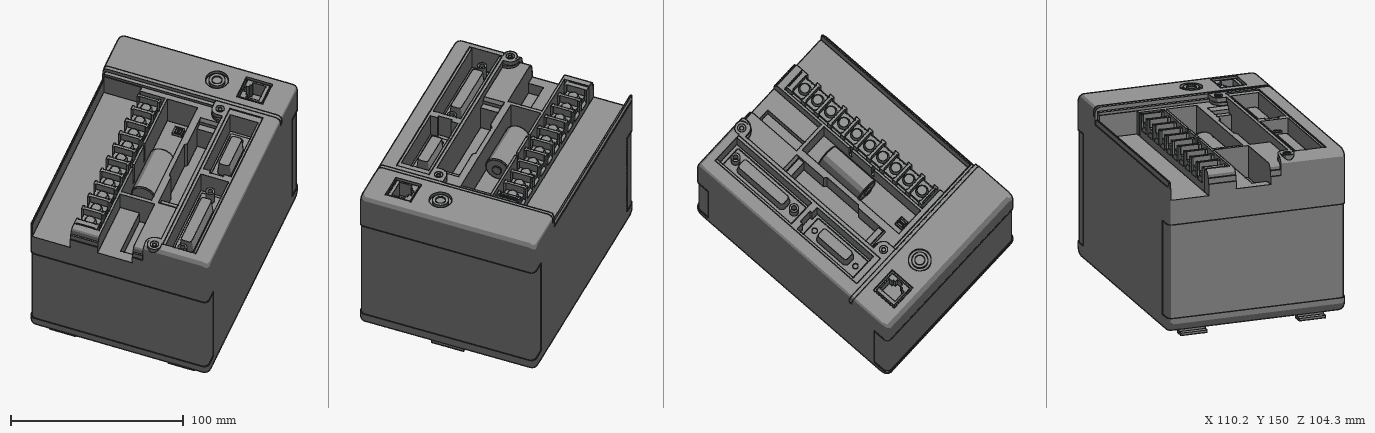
import cadquery as cq


WIDTH = 110.24
DEPTH = 149.99
HEIGHT = 100.0
LONG_EDGE_RADIUS = 6.2
SIDE_EDGE_RADIUS = 3.3
OVERCUT = 1.0

GRIP_INSET = 0.5
GRIP_BOTTOM = 8.9
FRONT_GRIP_TOP = 66.2
FRONT_GRIP_WRAP = 10.0
REAR_GRIP_TOP = 77.4
REAR_GRIP_WRAP = 10.6

SEAT_REAR = 119.7
SEAT_LEDGE = 97.3
SEAT_LEDGE_WIDTH = 2.2
DECK = 95.6
EAR_LEFT = 70.0
SEAT_RIGHT = 77.8
REAR_EAR_FRONT = 109.8
REAR_EAR_RADIUS = 4.6
FRONT_EAR_REAR = 10.0
FRONT_EAR_RADIUS = 5.6
EAR_STEP = 1.2

SEAM_WIDTH = 2.2
SEAM_DEPTH = 0.2
SEAM_BOTTOM = 94.0

NOSE_RADIUS = 2.8
NOSE_FACE = 1.6
LIP_FACE = 0.6
LIP_TOP = 91.8
LIP_BOTTOM = 88.4

LEFT_WALL = 1.8
LEFT_WALL_TOP = 92.2
LEFT_WALL_SHOULDER = 89.4
SHOULDER_WIDTH = 0.5
LEFT_WALL_TOP_START = 0.9

REAR_EAR_HOLE = (74.7, 114.7)
FRONT_EAR_HOLE = (75.5, 4.9)
FRONT_BOSS_RADIUS = 4.1
EAR_BORE_RADIUS = 2.4
EAR_BORE_DEPTH = 0.3
EAR_HOLE_RADIUS = 1.2
EAR_HOLE_DEPTH = 1.0

TROUGH_FLOOR = 81.5
TROUGH_REAR = 117.1
BLOCK_LEFT = 25.2
BLOCK_RIGHT = 39.1
BLOCK_FRONT = 6.8
BLOCK_REAR = 112.5
WELL_RIGHT = 40.7
WELL_REAR = 114.2

TERMINAL_COUNT = 10
TERMINAL_PITCH = 10.15
FIRST_TERMINAL_Y = 14.8
CELL_WIDTH = 8.4
CELL_RIGHT = 37.7
CELL_FLOOR = 90.6
REAR_SILL = 88.0
MOUTH_WIDTH = 7.3
CELL_FACE = 26.4
RAMP_TOP = 88.1
RAMP_BOTTOM = 85.9
TERMINAL_X = 32.0
TERMINAL_RADIUS = 3.65
TERMINAL_TOP_RADIUS = 2.8
TERMINAL_HEIGHT = 2.2
END_GROOVE_WIDTH = 0.8
END_GROOVE_DEPTH = 1.0

BAY_LEFT = 42.2
BAY_RIGHT = 60.9
BAY_FRONT = 39.0
BAY_FLOOR = 76.1
TAB_FRONT = 58.4
TAB_REAR = 78.0
SLIT_WIDTH = 2.1

BATTERY_X = 51.85
BATTERY_RADIUS = 7.55
BATTERY_FRONT = 49.5
BATTERY_REAR = 81.3
BATTERY_EDGE = 0.6
NUB_RADIUS = 2.75
NUB_LENGTH = 1.1

SWITCH_X = 51.5
SWITCH_Y = 107.8
SWITCH_WIDTH = 5.7
SWITCH_LENGTH = 5.2
SWITCH_HEIGHT = 2.0
SWITCH_SLOT_WIDTH = 1.3
SWITCH_SLOT_LENGTH = 3.6
SWITCH_SLOT_PITCH = 2.2

CABLE_RIGHT = 63.6
CABLE_REAR = 36.9
CABLE_FLOOR = 83.7
CABLE_WELL_LEFT = 54.2
CABLE_WELL_FRONT = 6.0

SLOT_LEFT = 65.2
SLOT_FRONT = 38.5
SLOT_REAR = 107.7
SLOT_RAMP = 1.75
SLOT_STEP = 3.8
SLOT_STEP_DROP = 4.0
SLOT_RAMP_DROP = 1.75
BULGE_FRONT = 59.3
BULGE_REAR = 86.6
BULGE = 1.5

FRAME_LEFT = 79.9
FRAME_RIGHT = 100.3
FRAME_FRONT = 6.6
FRAME_REAR = 116.9
FRAME_DEPTH = 0.8
CONNECTOR_LEFT = 81.6
CONNECTOR_RIGHT = 98.8
CONNECTOR_X = 90.1
CONNECTOR_FLOOR = 84.5
REAR_BAY = (69.2, 113.0)
FRONT_BAY = (FRAME_FRONT, 64.8)
BAY_NOTCH_WIDTH = 8.4
BAY_NOTCH_LENGTH = 1.6
FLANGE_WIDTH = 14.0
FLANGE_HEIGHT = 1.5
FLANGE_CORNER = 1.0
SHELL_WIDTH = 8.3
SHELL_TOP_WIDTH = 6.4
SHELL_HEIGHT = 8.6
SHELL_CORNER = 2.6
REAR_FLANGE = (71.4, 110.3)
FRONT_FLANGE = (8.9, 62.1)
REAR_SHELL = (78.7, 103.0)
FRONT_SHELL = (16.8, 53.3)
REAR_FIXINGS = (74.9, 106.7)
FRONT_FIXINGS = (13.0, 58.5)
FLANGE_HOLE_RADIUS = 1.6
STANDOFF_X = 89.8
STANDOFF_RADIUS = 2.6
STANDOFF_HOLE_RADIUS = 1.4
STANDOFF_HEIGHT = 8.2

PLUG_CENTRE = (65.3, 134.5)
PLUG_RECESS_RADIUS = 6.6
PLUG_RADIUS = 4.7
PLUG_HOLE_RADIUS = 2.9
PLUG_RECESS_DEPTH = 2.0
PLUG_HOLE_DEPTH = 0.8

JACK_LEFT = 80.4
JACK_RIGHT = 96.6
JACK_FRONT = 126.6
JACK_REAR = 142.6
JACK_MARGIN = 1.15
JACK_GAP_DEPTH = 2.0
JACK_SET_BACK = 0.8
JACK_HOLE_DEPTH = 11.0
JACK_HOLE_RIGHT = 93.3
JACK_STEPS = ((85.4, 11.6), (84.4, 7.2), (82.6, 4.0))

HOOK_HEIGHT = 4.29
HOOK_WIDTH = 16.2
HOOK_LEFTS = (10.3, 83.5)
HOOK_HEEL = 14.2
HOOK_BACK = 12.0
HOOK_FRONT = 9.0
HOOK_TIP = 6.0
HOOK_TOE_TOP = -2.8
LATCH_FRONT = 143.8
LATCH_REAR = 148.4
LATCH_WIDTH = 20.0
LATCH_TOP = 4.5
PIN_Y = 144.4
PIN_PROFILE = ((1.2, 0.9), (1.7, 1.1), (1.0, 0.7))


def block(x0, x1, y0, y1, z0, z1):
    """Box between two opposite corners."""
    return cq.Workplane("XY").box(x1 - x0, y1 - y0, z1 - z0, centered=False).translate((x0, y0, z0))


def rod(centre, radius, z0, z1):
    """Vertical cylinder."""
    return cq.Workplane("XY", origin=(*centre, z0)).circle(radius).extrude(z1 - z0)


def case_form(inset):
    """Rounded case, shrunk on every face by the inset."""
    core = block(inset, WIDTH - inset, inset, DEPTH - inset, inset, HEIGHT - inset)
    core = core.edges("|X").fillet(LONG_EDGE_RADIUS)
    return core.faces("<X or >X").edges().fillet(SIDE_EDGE_RADIUS)


def skin(inset, y0, y1, z0, z1):
    """Thin outer layer of the case within a range of Y and Z."""
    return block(-OVERCUT, WIDTH + OVERCUT, y0, y1, z0, z1).cut(case_form(inset))


def shell_case():
    case = case_form(0)
    case = case.cut(skin(GRIP_INSET, -OVERCUT, FRONT_GRIP_WRAP, GRIP_BOTTOM, FRONT_GRIP_TOP))
    rear_start = DEPTH - REAR_GRIP_WRAP
    case = case.cut(skin(GRIP_INSET, rear_start, DEPTH + OVERCUT, GRIP_BOTTOM, REAR_GRIP_TOP))
    seam_rear = SEAT_REAR + SEAM_WIDTH
    return case.cut(skin(SEAM_DEPTH, SEAT_REAR, seam_rear, SEAM_BOTTOM, HEIGHT + OVERCUT))


def seat_layer(rear, ear_growth, z0, z1):
    """One level of the cover seat, leaving the two rounded ears standing."""
    layer = block(-OVERCUT, SEAT_RIGHT, -OVERCUT, rear, z0, z1)
    rear_ear = block(EAR_LEFT, WIDTH, REAR_EAR_FRONT - ear_growth, DEPTH, z0, z1)
    rear_ear = rear_ear.edges("|Z and <X and <Y").fillet(REAR_EAR_RADIUS + ear_growth)
    front_ear = block(EAR_LEFT, WIDTH, -DEPTH, FRONT_EAR_REAR + ear_growth, z0, z1)
    front_ear = front_ear.edges("|Z and <X and >Y").fillet(FRONT_EAR_RADIUS + ear_growth)
    return layer.cut(rear_ear).cut(front_ear)


def nose_cutter():
    """Space in front of the rounded deck end and its lip."""
    nose_start = NOSE_FACE + NOSE_RADIUS
    arc_offset = NOSE_RADIUS * (1 - 0.5 ** 0.5)
    return (
        cq.Workplane("YZ", origin=(-OVERCUT, 0, 0))
        .moveTo(-OVERCUT, SEAT_LEDGE)
        .lineTo(-OVERCUT, LIP_BOTTOM)
        .lineTo(LIP_FACE, LIP_BOTTOM)
        .lineTo(LIP_FACE, LIP_TOP)
        .lineTo(NOSE_FACE, LIP_TOP)
        .lineTo(NOSE_FACE, DECK - NOSE_RADIUS)
        .threePointArc((NOSE_FACE + arc_offset, DECK - arc_offset), (nose_start, DECK))
        .lineTo(nose_start, SEAT_LEDGE)
        .close()
        .extrude(EAR_LEFT + OVERCUT)
    )


def left_wall_cutter():
    """Space over the stepped top of the low left wall."""
    return (
        cq.Workplane("XZ", origin=(0, -OVERCUT, 0))
        .moveTo(-OVERCUT, LEFT_WALL_SHOULDER)
        .lineTo(SHOULDER_WIDTH, LEFT_WALL_SHOULDER)
        .lineTo(LEFT_WALL_TOP_START, LEFT_WALL_TOP)
        .lineTo(LEFT_WALL, LEFT_WALL_TOP)
        .lineTo(LEFT_WALL, HEIGHT + OVERCUT)
        .lineTo(-OVERCUT, HEIGHT + OVERCUT)
        .close()
        .extrude(-SEAT_REAR - OVERCUT)
    )


def cut_cover_seat(case):
    case = case.cut(seat_layer(SEAT_REAR, 0, SEAT_LEDGE, HEIGHT + OVERCUT))
    case = case.cut(seat_layer(SEAT_REAR - SEAT_LEDGE_WIDTH, EAR_STEP, DECK, SEAT_LEDGE))
    return case.cut(nose_cutter()).cut(left_wall_cutter())


def add_ear_holes(case):
    boss_bottom = HEIGHT - LONG_EDGE_RADIUS
    case = case.union(rod(FRONT_EAR_HOLE, FRONT_BOSS_RADIUS, boss_bottom, HEIGHT))
    for centre in (REAR_EAR_HOLE, FRONT_EAR_HOLE):
        case = case.cut(rod(centre, EAR_BORE_RADIUS, HEIGHT - EAR_BORE_DEPTH, HEIGHT + OVERCUT))
        case = case.cut(rod(centre, EAR_HOLE_RADIUS, HEIGHT - EAR_HOLE_DEPTH, HEIGHT))
    return case


def cut_trough_and_well(case):
    case = case.cut(block(LEFT_WALL, BLOCK_LEFT, -OVERCUT, TROUGH_REAR, TROUGH_FLOOR, HEIGHT))
    return case.cut(block(BLOCK_LEFT, WELL_RIGHT, BLOCK_FRONT, WELL_REAR, TROUGH_FLOOR, HEIGHT))


def cut_battery_bay(case):
    case = case.cut(block(BAY_LEFT, BAY_RIGHT, BAY_FRONT, WELL_REAR, BAY_FLOOR, HEIGHT))
    for slit in (TAB_FRONT, TAB_REAR - SLIT_WIDTH):
        case = case.cut(block(WELL_RIGHT, BAY_LEFT, slit, slit + SLIT_WIDTH, TROUGH_FLOOR, HEIGHT))
    return case.union(dip_switch())


def dip_switch():
    """Two-way switch block on the floor of the battery bay."""
    top = BAY_FLOOR + SWITCH_HEIGHT
    return (
        cq.Workplane("XY", origin=(SWITCH_X, SWITCH_Y, BAY_FLOOR))
        .rect(SWITCH_WIDTH, SWITCH_LENGTH)
        .extrude(SWITCH_HEIGHT)
        .cut(
            cq.Workplane("XY", origin=(SWITCH_X, SWITCH_Y, top - SWITCH_HEIGHT / 2))
            .rarray(SWITCH_SLOT_PITCH, 1, 2, 1)
            .rect(SWITCH_SLOT_WIDTH, SWITCH_SLOT_LENGTH)
            .extrude(SWITCH_HEIGHT)
        )
    )


def cut_cable_pocket(case):
    case = case.cut(block(BAY_LEFT, CABLE_RIGHT, -OVERCUT, CABLE_REAR, CABLE_FLOOR, HEIGHT))
    return case.cut(
        block(CABLE_WELL_LEFT, CABLE_RIGHT, CABLE_WELL_FRONT, CABLE_REAR, BAY_FLOOR, HEIGHT)
    )


def cut_module_slot(case):
    step_top = DECK - SLOT_STEP_DROP
    ramp_bottom = DECK - SLOT_RAMP_DROP
    stepped_end = SLOT_RAMP + SLOT_STEP
    length_profile = (
        cq.Workplane("YZ", origin=(SLOT_LEFT, 0, 0))
        .moveTo(SLOT_FRONT, DECK)
        .lineTo(SLOT_FRONT + SLOT_RAMP, ramp_bottom)
        .lineTo(SLOT_FRONT + SLOT_RAMP, step_top)
        .lineTo(SLOT_FRONT + stepped_end, step_top)
        .lineTo(SLOT_FRONT + stepped_end, BAY_FLOOR)
        .lineTo(SLOT_REAR - stepped_end, BAY_FLOOR)
        .lineTo(SLOT_REAR - stepped_end, step_top)
        .lineTo(SLOT_REAR - SLOT_RAMP, step_top)
        .lineTo(SLOT_REAR - SLOT_RAMP, ramp_bottom)
        .lineTo(SLOT_REAR, DECK)
        .close()
        .extrude(SEAT_RIGHT - SLOT_LEFT)
    )
    bulge = (
        cq.Workplane("XY", origin=(0, 0, BAY_FLOOR))
        .moveTo(SLOT_LEFT, BULGE_FRONT)
        .lineTo(SLOT_LEFT - BULGE, BULGE_FRONT + BULGE)
        .lineTo(SLOT_LEFT - BULGE, BULGE_REAR - BULGE)
        .lineTo(SLOT_LEFT, BULGE_REAR)
        .close()
        .extrude(DECK - BAY_FLOOR)
    )
    return case.cut(length_profile).cut(bulge)


def connector(flange_span, shell_span):
    """Flange with a tapered, rounded shell standing on it."""
    flange_length = flange_span[1] - flange_span[0]
    flange_middle = sum(flange_span) / 2
    shell_length = shell_span[1] - shell_span[0]
    shell_middle = sum(shell_span) / 2
    taper = SHELL_WIDTH - SHELL_TOP_WIDTH
    shell_bottom = CONNECTOR_FLOOR + FLANGE_HEIGHT
    flange = (
        cq.Workplane("XY", origin=(CONNECTOR_X, flange_middle, CONNECTOR_FLOOR))
        .rect(FLANGE_WIDTH, flange_length)
        .extrude(FLANGE_HEIGHT)
        .edges("|Z")
        .fillet(FLANGE_CORNER)
    )
    outline = cq.Sketch().rect(SHELL_WIDTH, shell_length).vertices().fillet(SHELL_CORNER)
    top_corner = SHELL_CORNER - taper / 2
    top_outline = (
        cq.Sketch().rect(SHELL_TOP_WIDTH, shell_length - taper).vertices().fillet(top_corner)
    )
    shell = (
        cq.Workplane("XY", origin=(CONNECTOR_X, shell_middle, shell_bottom))
        .placeSketch(outline, top_outline.moved(cq.Location(cq.Vector(0, 0, SHELL_HEIGHT))))
        .loft()
    )
    return flange.union(shell)


def add_connector_bays(case):
    frame_bottom = HEIGHT - FRAME_DEPTH
    case = case.cut(
        block(FRAME_LEFT, FRAME_RIGHT, FRAME_FRONT, FRAME_REAR, frame_bottom, HEIGHT + OVERCUT)
    )
    for front, rear in (REAR_BAY, FRONT_BAY):
        case = case.cut(
            block(CONNECTOR_LEFT, CONNECTOR_RIGHT, front, rear, CONNECTOR_FLOOR, HEIGHT + OVERCUT)
        )
    notch = block(
        CONNECTOR_X - BAY_NOTCH_WIDTH / 2,
        CONNECTOR_X + BAY_NOTCH_WIDTH / 2,
        REAR_BAY[0] - BAY_NOTCH_LENGTH,
        REAR_BAY[0],
        CONNECTOR_FLOOR,
        HEIGHT,
    )
    case = case.cut(notch)
    case = case.union(connector(REAR_FLANGE, REAR_SHELL))
    case = case.union(connector(FRONT_FLANGE, FRONT_SHELL))
    flange_top = CONNECTOR_FLOOR + FLANGE_HEIGHT
    standoff_top = flange_top + STANDOFF_HEIGHT
    for y in REAR_FIXINGS:
        case = case.cut(rod((CONNECTOR_X, y), FLANGE_HOLE_RADIUS, CONNECTOR_FLOOR, flange_top))
    for y in FRONT_FIXINGS:
        case = case.union(rod((STANDOFF_X, y), STANDOFF_RADIUS, flange_top, standoff_top))
        case = case.cut(rod((STANDOFF_X, y), STANDOFF_HOLE_RADIUS, flange_top, standoff_top))
    return case


def cut_round_plug(case):
    recess_bottom = HEIGHT - PLUG_RECESS_DEPTH
    ring = rod(PLUG_CENTRE, PLUG_RECESS_RADIUS, recess_bottom, HEIGHT)
    ring = ring.cut(rod(PLUG_CENTRE, PLUG_RADIUS, recess_bottom, HEIGHT))
    return case.cut(ring).cut(rod(PLUG_CENTRE, PLUG_HOLE_RADIUS, HEIGHT - PLUG_HOLE_DEPTH, HEIGHT))


def cut_modular_jack(case):
    gap_bottom = HEIGHT - JACK_GAP_DEPTH
    case = case.cut(block(JACK_LEFT, JACK_RIGHT, JACK_FRONT, JACK_REAR, gap_bottom, HEIGHT))
    body = block(
        JACK_LEFT + JACK_MARGIN,
        JACK_RIGHT - JACK_MARGIN,
        JACK_FRONT + JACK_MARGIN,
        JACK_REAR - JACK_MARGIN,
        gap_bottom,
        HEIGHT - JACK_SET_BACK,
    )
    case = case.union(body)
    middle = (JACK_FRONT + JACK_REAR) / 2
    for left, width in JACK_STEPS:
        front = middle - width / 2
        opening = block(
            left, JACK_HOLE_RIGHT, front, front + width, HEIGHT - JACK_HOLE_DEPTH, HEIGHT
        )
        case = case.cut(opening)
    return case


def add_rail_fittings(case):
    for left in HOOK_LEFTS:
        hook = (
            cq.Workplane("YZ", origin=(left, 0, 0))
            .moveTo(HOOK_HEEL, 0)
            .lineTo(HOOK_BACK, HOOK_TOE_TOP)
            .lineTo(HOOK_BACK, -HOOK_HEIGHT)
            .lineTo(HOOK_TIP, -HOOK_HEIGHT)
            .lineTo(HOOK_TIP, HOOK_TOE_TOP)
            .lineTo(HOOK_FRONT, HOOK_TOE_TOP)
            .lineTo(HOOK_FRONT, 0)
            .close()
            .extrude(HOOK_WIDTH)
        )
        case = case.union(hook)
    middle = WIDTH / 2
    half_latch = LATCH_WIDTH / 2
    latch = block(middle - half_latch, middle + half_latch, LATCH_FRONT, LATCH_REAR, 0, LATCH_TOP)
    case = case.union(latch)
    top = 0
    for radius, height in PIN_PROFILE:
        case = case.union(rod((middle, PIN_Y), radius, top - height, top))
        top -= height
    return case


def make_housing():
    housing = shell_case()
    housing = cut_cover_seat(housing)
    housing = add_ear_holes(housing)
    housing = cut_trough_and_well(housing)
    housing = cut_battery_bay(housing)
    housing = cut_cable_pocket(housing)
    housing = cut_module_slot(housing)
    housing = add_connector_bays(housing)
    housing = cut_round_plug(housing)
    housing = cut_modular_jack(housing)
    return add_rail_fittings(housing)


def make_terminal_block():
    """Barrier strip: open cells with a sloped front and a tapered screw head each."""
    strip = block(BLOCK_LEFT, BLOCK_RIGHT, BLOCK_FRONT, BLOCK_REAR, TROUGH_FLOOR, DECK)
    for y in (BLOCK_FRONT, BLOCK_REAR - END_GROOVE_WIDTH):
        groove_rear = y + END_GROOVE_WIDTH
        strip = strip.cut(
            block(CELL_FACE, CELL_RIGHT, y, groove_rear, DECK - END_GROOVE_DEPTH, DECK)
        )
    for index in range(TERMINAL_COUNT):
        y = FIRST_TERMINAL_Y + index * TERMINAL_PITCH
        half_cell = CELL_WIDTH / 2
        cell = block(CELL_FACE, CELL_RIGHT, y - half_cell, y + half_cell, CELL_FLOOR, DECK)
        mouths = (
            cq.Workplane("XZ", origin=(0, y + MOUTH_WIDTH / 2, 0))
            .moveTo(BLOCK_LEFT, DECK)
            .lineTo(BLOCK_LEFT, RAMP_BOTTOM)
            .lineTo(CELL_FACE, RAMP_TOP)
            .lineTo(CELL_FACE, CELL_FLOOR)
            .lineTo(CELL_RIGHT, CELL_FLOOR)
            .lineTo(CELL_RIGHT, REAR_SILL)
            .lineTo(BLOCK_RIGHT, REAR_SILL)
            .lineTo(BLOCK_RIGHT, DECK)
            .close()
            .extrude(MOUTH_WIDTH)
        )
        screw_head = (
            cq.Workplane("XY", origin=(TERMINAL_X, y, CELL_FLOOR))
            .circle(TERMINAL_RADIUS)
            .workplane(offset=TERMINAL_HEIGHT)
            .circle(TERMINAL_TOP_RADIUS)
            .loft()
        )
        strip = strip.cut(cell).cut(mouths).union(screw_head)
    return strip


def make_battery():
    """Round cell lying along Y on the bay floor, with a contact nub at its rear end."""
    axis_height = BAY_FLOOR + BATTERY_RADIUS
    cell = (
        cq.Workplane("XZ", origin=(BATTERY_X, BATTERY_FRONT, axis_height))
        .circle(BATTERY_RADIUS)
        .extrude(BATTERY_FRONT - BATTERY_REAR)
        .edges()
        .chamfer(BATTERY_EDGE)
    )
    nub = (
        cq.Workplane("XZ", origin=(BATTERY_X, BATTERY_REAR, axis_height))
        .circle(NUB_RADIUS)
        .extrude(-NUB_LENGTH)
    )
    return cell.union(nub)


housing = make_housing()
terminal_block = make_terminal_block()
battery = make_battery()

result = cq.Compound.makeCompound([housing.val(), terminal_block.val(), battery.val()])